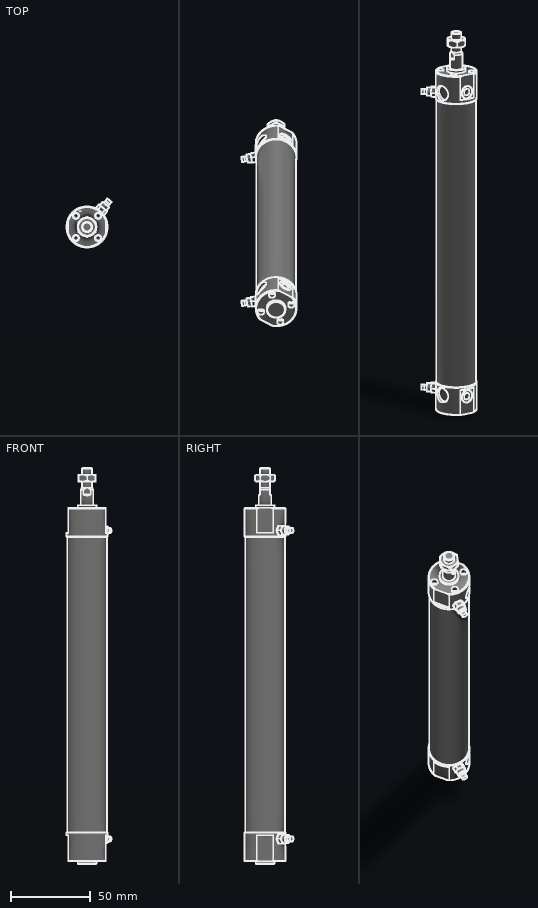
import cadquery as cq
import math


total_height = 249.0
boss_height = 1.7
head_length = 18.5
rod_extension = 23.5
body_top = total_height - rod_extension
mid_height = body_top / 2

tube_diameter = 25.1
head_diameter = 26.0
boss_diameter = 12.0
boss_bottom_chamfer = 0.5
outer_chamfer = 0.5
inner_chamfer_width = 0.2
inner_chamfer_height = 0.5
tube_length = body_top - 2 * (boss_height + head_length)

flat_width = 10.5
flat_distance = math.sqrt((head_diameter / 2) ** 2 - (flat_width / 2) ** 2)
flat_margin_top = 2.7
flat_margin_bottom = 2.0

port_height = 13.2
port_spotface_diameter = 8.0
port_spotface_depth = 0.5
port_bore_diameter = 4.2
port_depth = 6.2

pocket_diameter = 9.5
pocket_height = 14.0
pocket_angle = 100.0
pocket_floor_radius = 10.5

mount_spacing = 14.0
mount_thread_diameter = 4.0
mount_thread_depth = 5.0
mount_drill_diameter = 3.2
mount_drill_depth = 6.5
drill_point_angle = 118.0

rod_diameter = 8.0
thread_diameter = 6.5
thread_end_chamfer = 0.5
thread_length = 12.5
shoulder_chamfer_height = 1.5
wrench_flat_spacing = 6.5
wrench_flat_bottom = 231.2
wrench_flat_runout = 1.0

nut_across_flats = 11.0
nut_thickness = 4.5
nut_top = 244.7
nut_chamfer_angle = 45.0

valve_height = 16.0
valve_angle = 50.0
valve_thread_diameter = 5.5
valve_root_radius = 9.0
valve_hex_across_flats = 6.0
valve_hex_start = 12.2
valve_hex_end = 15.7
valve_collar_diameter = 5.5
valve_collar_end = 18.5
valve_neck_diameter = 3.2
valve_neck_end = 20.0
valve_tip_diameter = 3.5
valve_tip_end = 22.0


def cylinder(diameter, start, end):
    """Cylinder on the Z axis between two heights."""
    return cq.Workplane("XY").workplane(offset=start).circle(diameter / 2).extrude(end - start)


def revolve_about_z(profile):
    """Round solid from a closed outline of (radius, height) points."""
    return cq.Workplane("XZ").polyline(profile).close().revolve(360, (0, 0, 0), (0, 1, 0))


def hexagon_corners(across_flats):
    """Size of a hexagon across its corners."""
    return across_flats / math.cos(math.radians(30))


def hexagon(across_flats, start, end):
    """Hexagonal prism on the Z axis with two corners in the YZ plane."""
    base = cq.Workplane("XY").workplane(offset=start)
    prism = base.polygon(6, hexagon_corners(across_flats)).extrude(end - start)
    return prism.rotate((0, 0, 0), (0, 0, 1), 90)


def point_sideways(shape, angle, height):
    """Turn a shape built along +Z so that it points radially outward, at an angle from +X."""
    return (
        shape.rotate((0, 0, 0), (0, 1, 0), 90)
        .rotate((0, 0, 0), (0, 0, 1), angle)
        .translate((0, 0, height))
    )


def at_both_ends(height):
    """Heights of a feature in the bottom head and in the top head."""
    return [height, body_top - height]


def make_port_cutter():
    """Stepped port bore, built along +Z with its mouth at the flat."""
    spotface_floor = flat_distance - port_spotface_depth
    profile = [
        (0, flat_distance - port_depth),
        (port_bore_diameter / 2, flat_distance - port_depth),
        (port_bore_diameter / 2, spotface_floor),
        (port_spotface_diameter / 2, spotface_floor),
        (port_spotface_diameter / 2, head_diameter / 2),
        (0, head_diameter / 2),
    ]
    return revolve_about_z(profile)


def make_mount_hole_cutter():
    """Threaded hole with a drilled tip, built downward from the origin."""
    drill_radius = mount_drill_diameter / 2
    point_height = drill_radius / math.tan(math.radians(drill_point_angle / 2))
    profile = [
        (0, 0),
        (mount_thread_diameter / 2, 0),
        (mount_thread_diameter / 2, -mount_thread_depth),
        (drill_radius, -mount_thread_depth),
        (drill_radius, -mount_drill_depth),
        (0, -mount_drill_depth - point_height),
    ]
    return revolve_about_z(profile)


def make_blank_head(flat_margin):
    """Bottom head with chamfered rims, its boss and side flats, before any holes."""
    head_end = boss_height + head_length
    head_radius = head_diameter / 2
    profile = [
        (0, boss_height),
        (head_radius - outer_chamfer, boss_height),
        (head_radius, boss_height + outer_chamfer),
        (head_radius, head_end - inner_chamfer_height),
        (head_radius - inner_chamfer_width, head_end),
        (0, head_end),
    ]
    head = revolve_about_z(profile)

    flat_cutter = cq.Workplane("XY").box(
        head_radius, head_diameter, head_length - flat_margin, centered=(False, True, False)
    )
    flat_cutter = flat_cutter.translate((flat_distance, 0, boss_height))
    head = head.cut(flat_cutter).cut(flat_cutter.mirror("YZ"))
    return head.union(cylinder(boss_diameter, 0, boss_height))


def mirror_to_top(shape):
    """Copy of a bottom-head shape for the top head."""
    return shape.mirror("XY", (0, 0, mid_height))


def make_body():
    """Tube and heads with ports, pockets, mounting holes, valve holes and the rod bore."""
    tube_start = boss_height + head_length
    body = cylinder(tube_diameter, tube_start, tube_start + tube_length)
    body = body.union(make_blank_head(flat_margin_bottom)).faces("<Z").chamfer(boss_bottom_chamfer)
    body = body.union(mirror_to_top(make_blank_head(flat_margin_top)))

    for height in at_both_ends(port_height):
        body = body.cut(point_sideways(make_port_cutter(), 180, height))
    for height in at_both_ends(pocket_height):
        pocket = cylinder(pocket_diameter, pocket_floor_radius, head_diameter)
        body = body.cut(point_sideways(pocket, pocket_angle, height))
    for height in at_both_ends(valve_height):
        body = body.cut(make_valve(height))

    mount_holes = (
        cq.Workplane("XY")
        .rect(mount_spacing, mount_spacing, forConstruction=True)
        .vertices()
        .eachpoint(lambda place: make_mount_hole_cutter().val().moved(place))
        .translate((0, 0, body_top - boss_height))
    )
    body = body.cut(mount_holes).cut(mirror_to_top(mount_holes))
    return body.cut(cylinder(rod_diameter, tube_start + tube_length, body_top))


def make_rod():
    """Rod with a threaded end, a conical shoulder and two wrench flats."""
    rod_radius = rod_diameter / 2
    thread_radius = thread_diameter / 2
    thread_start = total_height - thread_length
    rod_start = body_top - boss_height - head_length
    profile = [
        (0, rod_start),
        (rod_radius, rod_start),
        (rod_radius, thread_start - shoulder_chamfer_height),
        (thread_radius, thread_start),
        (thread_radius, total_height - thread_end_chamfer),
        (thread_radius - thread_end_chamfer, total_height),
        (0, total_height),
    ]
    rod = revolve_about_z(profile)

    flat = wrench_flat_spacing / 2
    flat_profile = [
        (flat, thread_start),
        (flat, wrench_flat_bottom + wrench_flat_runout),
        (flat + wrench_flat_runout, wrench_flat_bottom),
        (rod_diameter, wrench_flat_bottom),
        (rod_diameter, thread_start),
    ]
    flat_cutter = cq.Workplane("YZ").polyline(flat_profile).close().extrude(rod_radius, both=True)
    return rod.cut(flat_cutter).cut(flat_cutter.mirror("XZ"))


def make_nut():
    """Hex nut with corners on the Y axis, chamfered at both ends."""
    nut_bottom = nut_top - nut_thickness
    hexagonal_nut = hexagon(nut_across_flats, nut_bottom, nut_top)
    flat_radius = nut_across_flats / 2
    corner_radius = hexagon_corners(nut_across_flats) / 2
    chamfer_height = (corner_radius - flat_radius) * math.tan(math.radians(nut_chamfer_angle))
    envelope_profile = [
        (0, nut_bottom),
        (flat_radius, nut_bottom),
        (corner_radius, nut_bottom + chamfer_height),
        (corner_radius, nut_top - chamfer_height),
        (flat_radius, nut_top),
        (0, nut_top),
    ]
    envelope = revolve_about_z(envelope_profile)
    return hexagonal_nut.intersect(envelope).cut(cylinder(thread_diameter, nut_bottom, nut_top))


def make_valve(height):
    """Cushion valve: threaded root, hexagon, round collar, neck and adjusting tip."""
    valve = cylinder(valve_thread_diameter, valve_root_radius, valve_hex_start)
    valve = valve.union(hexagon(valve_hex_across_flats, valve_hex_start, valve_hex_end))
    valve = valve.union(cylinder(valve_collar_diameter, valve_hex_end, valve_collar_end))
    valve = valve.union(cylinder(valve_neck_diameter, valve_collar_end, valve_neck_end))
    valve = valve.union(cylinder(valve_tip_diameter, valve_neck_end, valve_tip_end))
    return point_sideways(valve, valve_angle, height)


body = make_body()
rod = make_rod()
nut = make_nut()
valves = [make_valve(height) for height in at_both_ends(valve_height)]

result = cq.Compound.makeCompound([body.val(), rod.val(), nut.val(), *[valve.val() for valve in valves]])